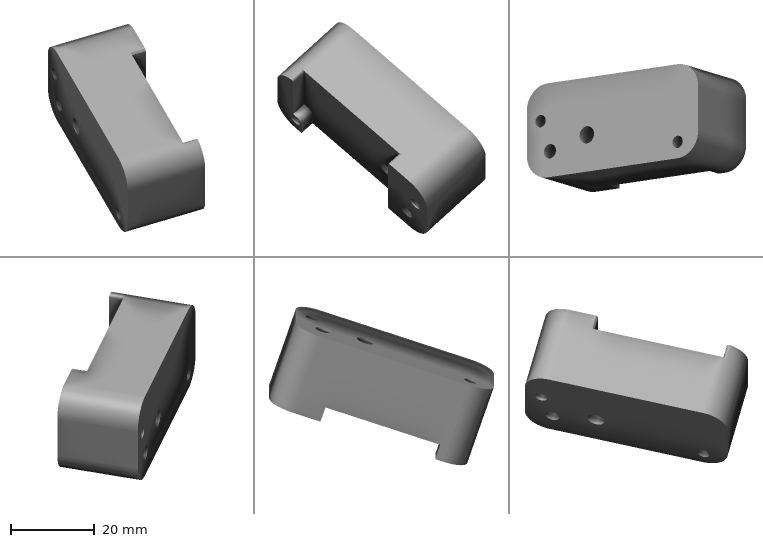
import cadquery as cq

length = 50.0
depth = 20.0
height = 23.0
corner_radius = 6.0

notch_depth = 3.75
notch_left = 13.0
left_chamfer = 0.45

step_left = 41.95
step_top = 6.0
step_radius = 1.5
lip_left = 44.75
lip_radius = 0.7

holes = [
    (4.0, 14.0, 3.0),
    (6.75, 6.3, 3.5),
    (17.5, 9.0, 4.2),
    (44.0, 4.0, 3.0),
]


def make_block():
    block = cq.Workplane("XY").box(length, depth, height, centered=False)
    return block.edges("|Y").fillet(corner_radius)


def make_notch():
    """Stepped cutter running the full height at the rear of the block."""
    notch_front = depth - notch_depth
    lower = cq.Workplane("XY").box(step_left - notch_left, notch_depth, height, centered=False)
    upper = (
        cq.Workplane("XY")
        .box(lip_left - notch_left, notch_depth, height - step_top, centered=False)
        .translate((0, 0, step_top))
    )
    return lower.union(upper).translate((notch_left, notch_front, 0))


def edge_at(x, z):
    """Selector for the notch edge parallel to Y that passes through (x, z)."""
    return cq.selectors.NearestToPointSelector((x, depth - notch_depth / 2, z))


def cut_hole(body, x, z, diameter):
    cutter = (
        cq.Workplane("XZ")
        .center(x, z)
        .circle(diameter / 2)
        .extrude(-depth)
    )
    return body.cut(cutter)


body = make_block().cut(make_notch())

body = body.edges("|Y").edges(edge_at(notch_left, height)).chamfer(left_chamfer)
body = body.edges("|Y").edges(edge_at(step_left, step_top)).fillet(step_radius)
body = body.edges("|Y").edges(edge_at(lip_left, height)).fillet(lip_radius)

for hole_x, hole_z, hole_diameter in holes:
    body = cut_hole(body, hole_x, hole_z, hole_diameter)

result = body